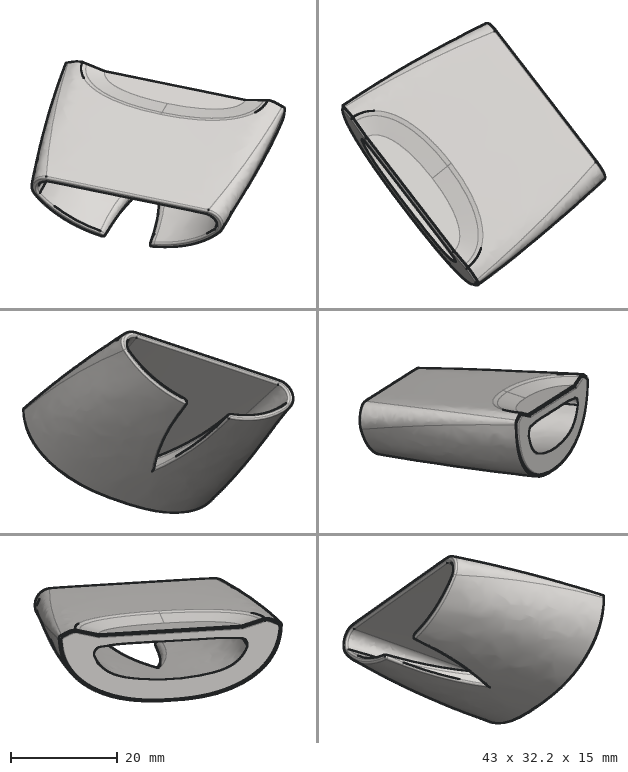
import cadquery as cq
import math

LENGTH = 32.2
HEIGHT = 15.0

LIP_LENGTH = 0.45
LIP_INSET = 0.4
LIP_RADIUS = 0.17
BODY_LENGTH = LENGTH - LIP_LENGTH

RIM_RADIUS = 0.4

SLOT_HALF_WIDTH = 4.25
SLOT_LENGTH = 19.75
SLOT_BOTTOM = -17.2
SLOT_TOP = -6.45
SLOT_INNER_RADIUS = 1.3
SLOT_OUTER_RADIUS = 0.45

SCOOP_FLOOR = (13.85, 26.67, -1.2)
SCOOP_EDGE = (17.35, 23.1, -0.25)
SCOOP_RIM = (18.35, 22.1, 0.05)
SCOOP_FULLNESS = 0.62


def mirrored(point):
    return (-point[0], point[1])


def section(y, flat, shoulder, knee, corner, flanks, bottom):
    """Closed symmetric outline in the plane at y.

    From the top centre outwards: a crown curve through the end of the flat to the
    shoulder, a rounded corner through the knee, and a belly curve through the
    flanks down to the bottom.
    """
    fall = (shoulder[0] - flat[0], 1.4 * (shoulder[1] - flat[1]))
    crown_tangents = [(fall[0], -fall[1]), (1, 0), (1, 0), fall]
    belly = [*flanks, (0, bottom), *[mirrored(p) for p in reversed(flanks)], mirrored(corner)]
    outline = (
        cq.Workplane("XZ", origin=(0, y, 0))
        .moveTo(*mirrored(shoulder))
        .spline([mirrored(flat), flat, shoulder], tangents=crown_tangents, includeCurrent=True)
        .threePointArc(knee, corner)
        .spline(belly, includeCurrent=True)
        .threePointArc(mirrored(knee), mirrored(shoulder))
        .close()
    )
    return outline.val()


def loft(sections, ruled=False):
    return cq.Workplane(obj=cq.Solid.makeLoft(sections, ruled))


def make_body():
    """Outer skin, swelling from the small front to the wide back."""
    front = section(0, (12.9, -0.3), (15.8, -0.35), (18.55, -2.5), (18.15, -5.33),
                    [(14.65, -8.75), (8.15, -12.03)], -13.15)
    middle = section(BODY_LENGTH / 2, (16.1, -0.05), (19.05, -0.45), (20.27, -1.3), (20.57, -3.0),
                     [(16.95, -9.55), (9.0, -13.25)], -14.35)
    back = section(BODY_LENGTH, (18.15, 0), (20.95, -0.9), (21.4, -1.2), (21.48, -1.7),
                   [(18.25, -9.35), (9.45, -14.05)], -HEIGHT)
    return loft([front, middle, back])


def make_bore():
    """Through opening that narrows towards the back."""
    front = section(0, (12.9, -1.37), (15.45, -1.4), (17.45, -3.0), (17.2, -5.0),
                    [(13.87, -7.95), (7.75, -11.0)], -12.05)
    back = section(LENGTH, (8.6, -3.2), (13.3, -3.52), (14.47, -4.05), (14.77, -5.15),
                   [(12.25, -8.35), (6.65, -10.15)], -10.65)
    return loft([front, back], ruled=True)


def make_slot():
    """Pointed arch whose two arcs leave the front edge along Y and meet on the centre line."""
    radius = (SLOT_HALF_WIDTH**2 + SLOT_LENGTH**2) / (2 * SLOT_HALF_WIDTH)
    middle_y = SLOT_LENGTH / 2
    middle_x = SLOT_HALF_WIDTH - radius + math.sqrt(radius**2 - middle_y**2)
    return (
        cq.Workplane("XY", origin=(0, 0, SLOT_BOTTOM))
        .moveTo(-SLOT_HALF_WIDTH, 0)
        .threePointArc((-middle_x, middle_y), (0, SLOT_LENGTH))
        .threePointArc((middle_x, middle_y), (SLOT_HALF_WIDTH, 0))
        .close()
        .extrude(SLOT_TOP - SLOT_BOTTOM)
    )


def make_scoop():
    """Dished cutter: a sloping side from the floor to the edge, then a flatter rim."""
    def level(half_width, tip_y, z):
        side_y = LENGTH + SCOOP_FULLNESS * (tip_y - LENGTH)
        tip_x = SCOOP_FULLNESS * half_width
        outline = (
            cq.Workplane("XY", origin=(0, 0, z))
            .moveTo(-half_width, LENGTH)
            .bezier([(-half_width, side_y), (-tip_x, tip_y), (0, tip_y)], includeCurrent=True)
            .bezier([(tip_x, tip_y), (half_width, side_y), (half_width, LENGTH)], includeCurrent=True)
            .close()
        )
        return outline.val()

    return loft([level(*SCOOP_FLOOR), level(*SCOOP_EDGE), level(*SCOOP_RIM)], ruled=True)


def make_back_lip():
    """Thin lip for the back face, inset all round and following the scoop."""
    outline = section(BODY_LENGTH, (18.05, -LIP_INSET), (20.6, -1.2), (20.9, -1.45), (21.05, -1.98),
                      [(17.9, -9.15), (9.28, -13.65)], LIP_INSET - HEIGHT)
    lip = cq.Workplane(obj=cq.Solid.extrudeLinear(outline, [], cq.Vector(0, LIP_LENGTH, 0)))
    lip = lip.cut(make_scoop().translate((0, 0, -LIP_INSET)))
    return lip.faces(">Y").edges().fillet(LIP_RADIUS)


def slot_edges(low_z, high_z):
    """Selector for the two slot edges whose centres lie between two heights."""
    half_depth = 3.45
    middle_y = SLOT_LENGTH / 2
    return cq.selectors.BoxSelector(
        (-SLOT_HALF_WIDTH, middle_y - half_depth, low_z),
        (SLOT_HALF_WIDTH, middle_y + half_depth, high_z),
    )


SLOT_WALL_Z = -12.45

result = make_body().cut(make_scoop()).union(make_back_lip())
result = result.cut(make_bore()).cut(make_slot())
result = result.edges(slot_edges(SLOT_WALL_Z, SLOT_TOP)).fillet(SLOT_INNER_RADIUS)
result = result.edges(slot_edges(SLOT_BOTTOM, SLOT_WALL_Z)).fillet(SLOT_OUTER_RADIUS)
result = result.faces("<Y").edges().fillet(RIM_RADIUS)